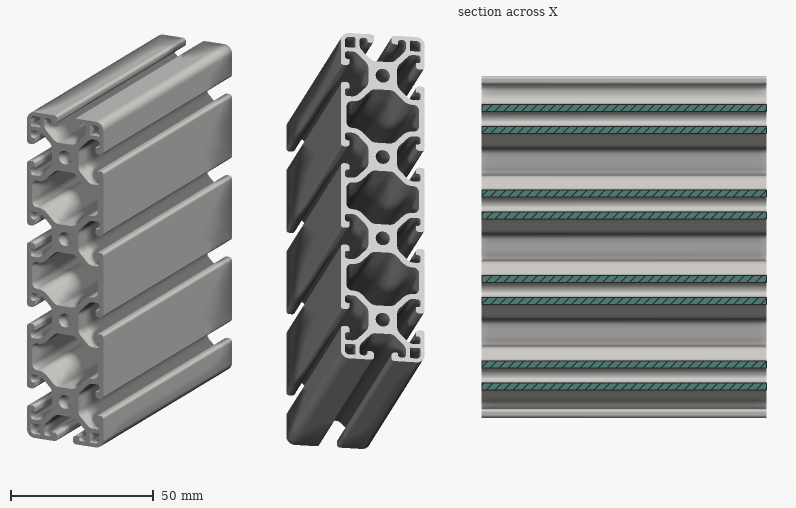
import cadquery as cq
import math

cell = 30.0
cell_count = 4
length = 100.0
half_cell = cell / 2
height = cell * cell_count

corner_radius = 3.0
bore_diameter = 5.0
skin = 1.5
side_wall = 2.0

core_half = 5.2
diagonal_offset = 1.5
bend_radius = 3.0
chamber_bend_radius = 4.8

mouth_half = 3.1
lip_depth = 3.1
lip_back = 5.4
lip_radius = 1.1
slot_half = 8.3
pocket_radius = 1.1

chamber_ledge = 10.1
chamber_radius = 2.0
corner_web = 1.5
corner_chamber_radius = 0.5

cut_clearance = 1.2


def rounded_prism(corners):
    """Extrude a closed outline of (x, z, corner radius) along the full length."""
    count = len(corners)
    path = None
    for i in range(count):
        x, z, radius = corners[i]
        corner = cq.Vector(x, z)
        before = cq.Vector(*corners[i - 1][:2])
        after = cq.Vector(*corners[(i + 1) % count][:2])
        to_before = (before - corner).normalized()
        to_after = (after - corner).normalized()
        half_angle = to_before.getAngle(to_after) / 2
        setback = radius / math.tan(half_angle)
        start = corner + to_before * setback
        if path is None:
            path = cq.Workplane("XZ").moveTo(start.x, start.y)
        else:
            path = path.lineTo(start.x, start.y)
        if radius > 0:
            bisector = (to_before + to_after).normalized()
            middle = corner + bisector * (radius / math.sin(half_angle) - radius)
            end = corner + to_after * setback
            path = path.threePointArc((middle.x, middle.y), (end.x, end.y))
    return path.close().extrude(length / 2, both=True)


def mirrored(half_outline):
    """Complete an outline that is symmetric about x = 0."""
    return half_outline + [(-x, z, r) for x, z, r in reversed(half_outline)]


def slot_cutter():
    """Slot opening upward, in a cell centred on the origin."""
    lip_bottom = half_cell - lip_depth
    pocket_top = half_cell - skin
    return rounded_prism(mirrored([
        (lip_back, half_cell + cut_clearance, 0),
        (lip_back, half_cell, 0),
        (mouth_half, half_cell, lip_radius),
        (mouth_half, lip_bottom, lip_radius),
        (lip_back, lip_bottom, 0),
        (lip_back, pocket_top, pocket_radius),
        (slot_half, pocket_top, pocket_radius),
        (slot_half, slot_half + diagonal_offset, bend_radius),
        (core_half - diagonal_offset, core_half, bend_radius),
    ]))


def large_chamber():
    """Chamber between two neighbouring cells, centred on the origin."""
    block_end = half_cell - core_half
    ledge = half_cell - chamber_ledge
    wall = half_cell - side_wall
    upper = mirrored([
        (wall, ledge, chamber_radius),
        (chamber_ledge - diagonal_offset, ledge, chamber_bend_radius),
        (core_half - diagonal_offset, block_end, bend_radius),
    ])
    lower = [(x, -z, r) for x, z, r in reversed(upper)]
    return rounded_prism(upper + lower)


def corner_chamber():
    """Small chamber in the upper right corner of a cell centred on the origin."""
    inner = slot_half + corner_web
    outer = half_cell - skin
    return rounded_prism([
        (inner, inner, 0),
        (outer, inner, corner_chamber_radius),
        (outer, outer, corner_radius - skin),
        (inner, outer, corner_chamber_radius),
    ])


def turned(body, angle):
    """Turn a body about the Y axis."""
    return body.rotate((0, 0, 0), (0, 1, 0), angle)


result = cq.Workplane("XY").box(cell, length, height).edges("|Y").fillet(corner_radius)

slot = slot_cutter()
bore = cq.Workplane("XZ").circle(bore_diameter / 2).extrude(length / 2, both=True)
top_cell_z = (height - cell) / 2
for index in range(cell_count):
    cell_position = (0, 0, top_cell_z - index * cell)
    for cutter in (bore, turned(slot, 90), turned(slot, -90)):
        result = result.cut(cutter.translate(cell_position))

chamber = large_chamber()
for index in range(cell_count - 1):
    result = result.cut(chamber.translate((0, 0, top_cell_z - half_cell - index * cell)))

right_chamber = corner_chamber()
left_chamber = right_chamber.mirror("YZ")
for cutter in (slot, right_chamber, left_chamber):
    raised = cutter.translate((0, 0, top_cell_z))
    result = result.cut(raised).cut(raised.mirror("XY"))